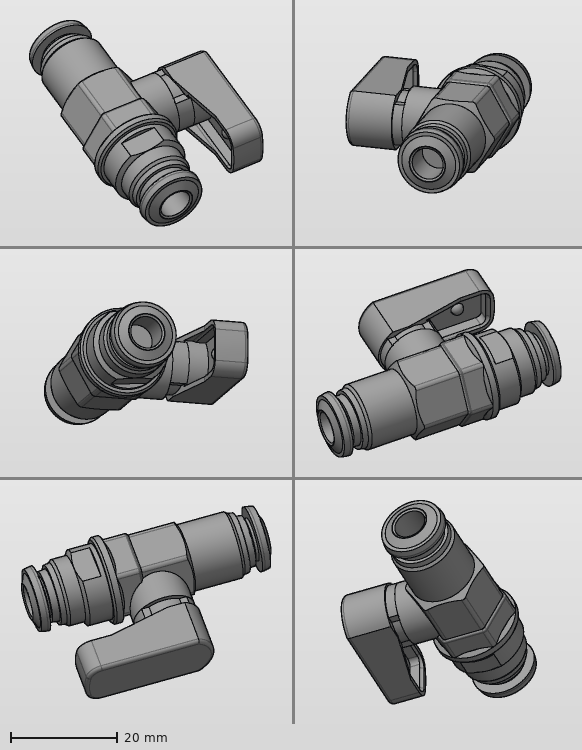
import cadquery as cq
import math


port_end = 23.52
flange_outer_face = 22.65
flange_inner_face = 20.95
flange_crest = 21.45
neck_taper_end = 20.4
sleeve_face = 20.1
nose_face = 18.7
nose_chamfer_start = 17.6
nose_chamfer_end = 17.05
socket_floor = 16.95

bore_radius = 3.05
bore_mouth_radius = 3.5
bore_chamfer = 0.25
collet_tip_radius = 3.58
collet_cone_radius = 5.3
flange_front_radius = 6.05
flange_crest_radius = 6.3
flange_radius = 6.35
neck_radius = 4.05
neck_root_radius = 4.25
sleeve_tip_radius = 4.95
sleeve_radius = 5.15
nose_tip_radius = 5.85
nose_radius = 6.0
barrel_radius = 6.5

hex_start = -7.65
hex_step = 2.25
small_hex_apothem = 7.05
hex_step_height = 0.4
large_hex_apothem = small_hex_apothem + hex_step_height
hex_corner_radius = 1.0
hex_step_fillet = 0.3
hex_chamfer_angle = 30.0
ring_cone_start = 6.65
ring_cone_radius = 7.58
ring_start = 7.25
ring_chamfer_start = 8.5
housing_end = 8.95
ring_radius = 8.493
ring_chamfer = 0.4

stem_x = -0.15
bonnet_radius = 6.0
bonnet_top = 10.5
stem_neck_radius = 5.05
stem_tab_half_width = 4.05
stem_top = 13.75

handle_bottom = 12.4
handle_tip_bottom = 14.95
handle_top = 21.525
slope_start_x = -0.25
slope_end_x = 11.7
handle_half_width = 5.45
handle_hub_radius = 6.45
handle_end_x = 18.9
handle_end_curve = 16.45
handle_corner_radius = 2.95
handle_top_fillet = 0.7
rim_half_width = 4.45
rim_end_x = 17.95
rim_corner_radius = 1.98
rim_depth = 0.65
rim_cove = 0.6
pocket_half_width = 4.2
pocket_end_x = 17.3
pocket_corner_radius = 1.15
pocket_floor = 17.5
dome_x = 12.25
dome_radius = 1.25

shoulder_radius = 7.45
shoulder_end = 13.5
barrel_start = 14.1
flat_start = 9.9
flat_distance = 6.55
flat_tilt = 5.6


def turned(points):
    """Revolve a closed outline of (x, radius) points about the pipe axis."""
    return cq.Workplane("XY").polyline(points).close().revolve(360, (0, 0, 0), (1, 0, 0))


def disc_y(radius, bottom, top):
    """Cylinder along Y on the stem axis, between two heights."""
    return cq.Workplane("XZ", origin=(stem_x, bottom, 0)).circle(radius).extrude(bottom - top)


def hexagon(apothem, start, end):
    """Hexagonal bar along X with flats facing +Z and -Z and rounded corners."""
    across_corners = 2 * apothem / math.cos(math.radians(30))
    bar = cq.Workplane("YZ", origin=(start, 0, 0)).polygon(6, across_corners).extrude(end - start)
    return bar.edges("|X").fillet(hex_corner_radius)


def nose_outline(inner_x):
    """Outline of the chamfered barrel of a push-in end on the +X side, from inner_x to the socket."""
    return [
        (inner_x, barrel_radius),
        (nose_chamfer_end, barrel_radius),
        (nose_chamfer_start, nose_radius),
        (nose_face, nose_tip_radius),
        (nose_face, sleeve_radius),
        (socket_floor, sleeve_radius),
        (socket_floor, 0),
    ]


def make_collet():
    """Release collet on the +X side, with its tube bore."""
    return turned([
        (socket_floor, bore_radius),
        (port_end - bore_chamfer, bore_radius),
        (port_end, bore_mouth_radius),
        (port_end, collet_tip_radius),
        (flange_outer_face, collet_cone_radius),
        (flange_outer_face, flange_front_radius),
        (flange_crest, flange_crest_radius),
        (flange_inner_face, flange_radius),
        (flange_inner_face, neck_root_radius),
        (neck_taper_end, neck_radius),
        (socket_floor, neck_radius),
    ])


def make_sleeve():
    """Guide sleeve on the +X side, between the collet and the barrel."""
    return turned([
        (socket_floor, neck_radius),
        (sleeve_face, neck_radius),
        (sleeve_face, sleeve_tip_radius),
        (nose_face, sleeve_radius),
        (socket_floor, sleeve_radius),
    ])


def make_housing():
    """Barrel, stepped hexagon, ring and bonnet in one solid."""
    small_hex = hexagon(small_hex_apothem, hex_start, hex_step + hex_step_height)
    chamfer_rise = (hex_step - hex_start) / math.tan(math.radians(hex_chamfer_angle))
    chamfer_cone = turned([
        (hex_start, 0),
        (hex_start, barrel_radius),
        (hex_step, barrel_radius + chamfer_rise),
        (housing_end, barrel_radius + chamfer_rise),
        (housing_end, 0),
    ])
    small_hex = small_hex.intersect(chamfer_cone)

    large_hex = hexagon(large_hex_apothem, hex_step, ring_chamfer_start)
    large_hex = large_hex.faces("<X").chamfer(hex_step_height)
    step_edges = cq.selectors.BoxSelector(
        (hex_step + hex_step_height / 2, -ring_radius, -ring_radius),
        (hex_step + 3 * hex_step_height / 2, ring_radius, ring_radius),
    )
    large_hex = large_hex.edges(step_edges).fillet(hex_step_fillet)

    ring = turned([
        (ring_cone_start, 0),
        (ring_cone_start, ring_cone_radius),
        (ring_start, ring_radius),
        (ring_chamfer_start, ring_radius),
        (housing_end, ring_radius - ring_chamfer),
        (housing_end, 0),
    ])
    barrel = turned(nose_outline(-hex_start) + [(-hex_start, 0)]).mirror("YZ")
    bonnet = disc_y(bonnet_radius, 0, bonnet_top)
    return small_hex.union(large_hex).union(ring).union(barrel).union(bonnet)


def make_end_body():
    """Turned end body with two wrench flats, slightly rotated about the pipe axis."""
    body = turned([
        (housing_end, 0),
        (housing_end, shoulder_radius),
        (shoulder_end, shoulder_radius),
    ] + nose_outline(barrel_start))
    flat_length = barrel_start - flat_start
    flat_bar = cq.Workplane("XY").box(flat_length, 2 * shoulder_radius, 2 * flat_distance)
    blank = cq.Workplane("XY").box(flat_length, 2 * shoulder_radius, 2 * shoulder_radius)
    flat_cutter = (
        blank.cut(flat_bar)
        .translate((flat_start + flat_length / 2, 0, 0))
        .rotate((0, 0, 0), (1, 0, 0), flat_tilt)
    )
    return body.cut(flat_cutter)


def make_stem():
    """Stem head: a disc with two stop tabs at the full bonnet radius."""
    tabs = disc_y(bonnet_radius, bonnet_top, stem_top).intersect(
        cq.Workplane("XY").box(4 * bonnet_radius, 4 * stem_top, 2 * stem_tab_half_width)
    )
    return disc_y(stem_neck_radius, bonnet_top, stem_top).union(tabs)


def lever_prism(half_width, end_x, corner_radius, bottom, top):
    """Prism along Y from the stem axis to a bulged end with rounded corners."""
    bulge = handle_end_curve - math.sqrt(handle_end_curve**2 - half_width**2)
    prism = (
        cq.Workplane("XZ", origin=(0, bottom, 0))
        .moveTo(stem_x, -half_width)
        .lineTo(end_x - bulge, -half_width)
        .threePointArc((end_x, 0), (end_x - bulge, half_width))
        .lineTo(stem_x, half_width)
        .close()
        .extrude(bottom - top)
    )
    return prism.edges("|Y").edges(">X").fillet(corner_radius)


def pocket_prism(half_width, end_x, corner_radius, floor):
    """Pocket volume from the hub to a flat end with rounded corners, open toward the pipe."""
    length = end_x - stem_x
    return (
        cq.Workplane("XY")
        .box(length, floor - handle_bottom, 2 * half_width, centered=(False, False, True))
        .translate((stem_x, handle_bottom, 0))
        .edges("|Y and >X")
        .fillet(corner_radius)
    )


def make_handle():
    """Lever handle, hollow underneath, with a round hub over the stem."""
    lever = lever_prism(handle_half_width, handle_end_x, handle_corner_radius, handle_bottom, handle_top)
    hub_side = 4 * handle_hub_radius
    hub_half = (
        cq.Workplane("XY")
        .box(hub_side, 4 * handle_top, 2 * handle_half_width)
        .translate((stem_x - hub_side / 2, 0, 0))
    )
    hub = disc_y(handle_hub_radius, handle_bottom, handle_top).intersect(hub_half)
    handle = lever.union(hub).faces(">Y").edges().fillet(handle_top_fillet)

    underside = (
        cq.Workplane("XY")
        .moveTo(slope_start_x, handle_bottom)
        .lineTo(slope_end_x, handle_tip_bottom)
        .lineTo(2 * handle_end_x, handle_tip_bottom)
        .lineTo(2 * handle_end_x, handle_bottom)
        .close()
        .extrude(2 * handle_half_width, both=True)
    )
    rim_pocket = pocket_prism(
        rim_half_width, rim_end_x, rim_corner_radius, handle_tip_bottom + rim_depth
    ).faces(">Y").edges().fillet(rim_cove)
    deep_pocket = pocket_prism(pocket_half_width, pocket_end_x, pocket_corner_radius, pocket_floor)
    hub_core = disc_y(bonnet_radius, handle_bottom, handle_top)
    pocket = rim_pocket.union(deep_pocket).cut(hub_core)
    handle = handle.cut(underside).cut(pocket).cut(make_stem())

    dome = cq.Workplane("XY").sphere(dome_radius).translate((dome_x, pocket_floor, 0))
    return handle.union(dome)


housing = make_housing()
end_body = make_end_body()
stem = make_stem()
handle = make_handle()

collets = []
sleeves = []
for part, copies in ((make_collet(), collets), (make_sleeve(), sleeves)):
    copies.append(part)
    copies.append(part.mirror("YZ"))

result = cq.Compound.makeCompound([
    housing.val(),
    end_body.val(),
    stem.val(),
    handle.val(),
    *[collet.val() for collet in collets],
    *[sleeve.val() for sleeve in sleeves],
])